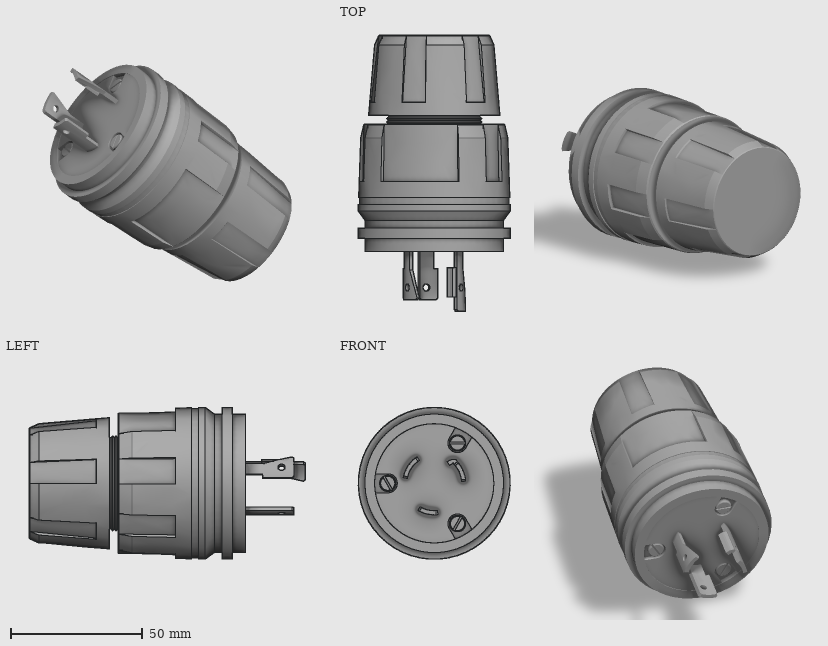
import cadquery as cq
import math


TOTAL_LENGTH = 105.33
OVERSHOOT = 2.0

NUT_TIP_RADIUS = 21.3
NUT_SHOULDER_RADIUS = 22.8
NUT_END_RADIUS = 25.1
NUT_SHOULDER = 3.65
NUT_END = 30.6
NUT_EDGE = 0.35
NUT_GRIP_COUNT = 6
NUT_GRIP_FIRST = 49.0
NUT_GRIP_SPAN = 22.0
NUT_GRIP_END = 26.0
NUT_GRIP_RUNOUT = 0.6
NUT_GRIP_TIP_RADIUS = 21.2
NUT_GRIP_END_RADIUS = 24.1

THREAD_ROOT_RADIUS = 17.5
THREAD_CREST_RADIUS = 18.15
THREAD_PITCH = 1.25
THREAD_COUNT = 2

BODY_START = 33.8
BODY_SHOULDER = 39.2
BODY_START_RADIUS = 27.0
BODY_SHOULDER_RADIUS = 28.1
BODY_END_RADIUS = 28.9
BODY_EDGE = 0.5
MAX_RADIUS = 29.02
BARREL_RADIUS = 26.45
GROOVE_RADIUS = 28.6
GROOVE_START = 62.0
GROOVE_END = 64.5
TAPER_START = 67.1
TAPER_END = 70.65
FLANGE_START = 73.6
FLANGE_END = 77.5
FACE = 82.6

BODY_GRIP_END = 55.8
BODY_GRIP_START_RADIUS = 26.85
BODY_GRIP_END_RADIUS = 27.3
LARGE_GRIP_SPAN = 64.5
LARGE_GRIP_ANGLES = (103.0, 283.0)
SMALL_GRIP_SPAN = 20.6
SMALL_GRIP_OFFSET = 67.2

INSERT_RADIUS = 22.75
INSERT_RECESS = 0.3
SCREW_CIRCLE_RADIUS = 17.75
SCREW_ANGLES = (60.0, 180.0, 300.0)
SCREW_POCKET_RADIUS = 3.65
SCREW_POCKET_DEPTH = 2.0
POCKET_FLOOR = FACE - SCREW_POCKET_DEPTH
SCREW_HEAD_RADIUS = 3.1
SCREW_HEAD_HEIGHT = 1.5
SCREW_HEAD_CHAMFER = 0.4
SCREW_SLOT_WIDTH = 0.8
SCREW_SLOT_DEPTH = 0.7
SCREW_SLOT_TURN = -60.0

BLADE_INNER_RADIUS = 10.45
BLADE_OUTER_RADIUS = 12.05
PLATE_WEDGE_BOTTOM = BLADE_INNER_RADIUS / 2
BLADE_LENGTH = 18.4
GROUND_LENGTH = TOTAL_LENGTH - FACE
BLADE_STEP = 6.5
BLADE_ROOT = SCREW_POCKET_DEPTH / 2
BLADE_CORNER = 0.7
BLADE_CLIP_ANGLE = math.degrees(BLADE_CORNER / BLADE_OUTER_RADIUS)
BLADE_HOLE_DIAMETER = 2.7
BLADE_HOLE_REACH = 13.7
FLARED_ROOT_LOW = 141.0
FLARED_ROOT_HIGH = 162.7
FLARED_TIP_LOW = 123.0
FLARED_TIP_HIGH = 169.7
FLARED_HOLE_ANGLE = 149.0
FLARE_START = 7.0
FLARE_END = 17.6
STEPPED_LOW = 239.0
STEPPED_ROOT_HIGH = 269.0
STEPPED_TIP_HIGH = 276.8
STEPPED_HOLE_ANGLE = 253.5
GROUND_HIGH = 43.5
GROUND_ROOT_LOW = 24.6
GROUND_TIP_LOW = 4.0
GROUND_HOLE_ANGLE = 31.0
TAB_START = 6.1
TAB_END = 17.3
TAB_OUTLINE = [
    (4.93, 8.28), (6.38, 8.98), (7.00, 9.18), (8.24, 9.10), (8.76, 8.28),
    (7.62, 7.14), (7.20, 7.87), (6.70, 7.35), (5.86, 6.83),
]


def turned(profile, span=360.0, start=90.0):
    """Revolve (station, radius) points about the axis over an angular span."""
    points = [(-station, radius) for station, radius in profile]
    solid = cq.Workplane("YZ").polyline(points).close().revolve(span, (0, 0), (-1, 0))
    return solid.rotate((0, 0, 0), (0, -1, 0), start - 90.0)


def plane_at(station):
    """Workplane across the axis, extruding toward the blade end."""
    return cq.Workplane("XZ", origin=(0, -station, 0))


def spin(shape, angle):
    """Turn a shape about the axis, from +X toward +Z."""
    return shape.rotate((0, 0, 0), (0, -1, 0), angle)


def make_nut():
    """Tapered cord nut with shallow grip panels all round."""
    nut = turned([
        (0, 0),
        (0, NUT_TIP_RADIUS - NUT_EDGE),
        (NUT_EDGE, NUT_TIP_RADIUS),
        (NUT_SHOULDER, NUT_SHOULDER_RADIUS),
        (NUT_END, NUT_END_RADIUS),
        (NUT_END, 0),
    ])
    grip = [
        (0, NUT_GRIP_TIP_RADIUS),
        (NUT_GRIP_END - NUT_GRIP_RUNOUT, NUT_GRIP_END_RADIUS),
        (NUT_GRIP_END, NUT_END_RADIUS),
        (NUT_GRIP_END, MAX_RADIUS),
        (0, MAX_RADIUS),
    ]
    for i in range(NUT_GRIP_COUNT):
        center = NUT_GRIP_FIRST + i * 360.0 / NUT_GRIP_COUNT
        nut = nut.cut(turned(grip, NUT_GRIP_SPAN, center - NUT_GRIP_SPAN / 2))
    return nut


def make_neck():
    """Threaded neck, its ends buried in the nut and the body."""
    profile = [(NUT_END - OVERSHOOT, 0), (NUT_END - OVERSHOOT, THREAD_ROOT_RADIUS)]
    first_root = NUT_END + THREAD_PITCH / 2
    for i in range(THREAD_COUNT):
        root = first_root + i * THREAD_PITCH
        profile.append((root, THREAD_ROOT_RADIUS))
        profile.append((root + THREAD_PITCH / 2, THREAD_CREST_RADIUS))
    last_root = first_root + THREAD_COUNT * THREAD_PITCH
    profile += [
        (last_root, THREAD_ROOT_RADIUS),
        (BODY_START + OVERSHOOT, THREAD_ROOT_RADIUS),
        (BODY_START + OVERSHOOT, 0),
    ]
    return turned(profile)


def make_body():
    """Turned body with groove, taper and flange, bored for the front insert."""
    body = turned([
        (BODY_START, 0),
        (BODY_START, BODY_START_RADIUS - BODY_EDGE),
        (BODY_START + BODY_EDGE, BODY_START_RADIUS),
        (BODY_SHOULDER, BODY_SHOULDER_RADIUS),
        (GROOVE_START, BODY_END_RADIUS),
        (GROOVE_START, GROOVE_RADIUS),
        (GROOVE_END, GROOVE_RADIUS),
        (GROOVE_END, MAX_RADIUS),
        (TAPER_START, MAX_RADIUS),
        (TAPER_END, BARREL_RADIUS),
        (FLANGE_START, BARREL_RADIUS),
        (FLANGE_START, MAX_RADIUS),
        (FLANGE_END, MAX_RADIUS),
        (FLANGE_END, BARREL_RADIUS),
        (FACE, BARREL_RADIUS),
        (FACE, 0),
    ])
    return body.cut(plane_at(POCKET_FLOOR).circle(INSERT_RADIUS).extrude(SCREW_POCKET_DEPTH))


def cut_body_grips(body):
    """Cut two large grip panels, each with a small panel on either side."""
    grip = [
        (BODY_START, BODY_GRIP_START_RADIUS),
        (BODY_GRIP_END, BODY_GRIP_END_RADIUS),
        (BODY_GRIP_END, MAX_RADIUS + OVERSHOOT),
        (BODY_START, MAX_RADIUS + OVERSHOOT),
    ]
    for center in LARGE_GRIP_ANGLES:
        body = body.cut(turned(grip, LARGE_GRIP_SPAN, center - LARGE_GRIP_SPAN / 2))
        for side in (-1, 1):
            small = center + side * SMALL_GRIP_OFFSET
            body = body.cut(turned(grip, SMALL_GRIP_SPAN, small - SMALL_GRIP_SPAN / 2))
    return body


def make_screw():
    """Slotted pan screw standing on the pocket floor, at angle zero."""
    head = plane_at(POCKET_FLOOR - OVERSHOOT).center(SCREW_CIRCLE_RADIUS, 0)
    head = head.circle(SCREW_HEAD_RADIUS).extrude(SCREW_HEAD_HEIGHT + OVERSHOOT)
    head = head.faces("<Y").chamfer(SCREW_HEAD_CHAMFER)
    slot_floor = POCKET_FLOOR + SCREW_HEAD_HEIGHT - SCREW_SLOT_DEPTH
    slot = plane_at(slot_floor).center(SCREW_CIRCLE_RADIUS, 0)
    slot = slot.transformed(rotate=(0, 0, SCREW_SLOT_TURN))
    slot = slot.rect(3 * SCREW_HEAD_RADIUS, SCREW_SLOT_WIDTH).extrude(OVERSHOOT)
    return head.cut(slot)


def make_insert():
    """Front disc with screw pockets that run out through its rim."""
    insert = plane_at(POCKET_FLOOR).circle(INSERT_RADIUS).extrude(SCREW_POCKET_DEPTH - INSERT_RECESS)
    pocket = plane_at(POCKET_FLOOR).moveTo(MAX_RADIUS, SCREW_POCKET_RADIUS)
    pocket = pocket.lineTo(SCREW_CIRCLE_RADIUS, SCREW_POCKET_RADIUS)
    pocket = pocket.threePointArc(
        (SCREW_CIRCLE_RADIUS - SCREW_POCKET_RADIUS, 0),
        (SCREW_CIRCLE_RADIUS, -SCREW_POCKET_RADIUS),
    )
    pocket = pocket.lineTo(MAX_RADIUS, -SCREW_POCKET_RADIUS).close().extrude(SCREW_POCKET_DEPTH)
    for angle in SCREW_ANGLES:
        insert = insert.cut(spin(pocket, angle))
    return insert


def curved_plate(outline, hole_angle):
    """Plate curved about the axis, from (angle, reach past the face) outline points."""
    angles = [angle for angle, _ in outline]
    reaches = [reach for _, reach in outline]
    center = (min(angles) + max(angles)) / 2

    def outline_at(height):
        return [
            (height * math.tan(math.radians(center - angle)), -FACE - reach)
            for angle, reach in outline
        ]

    wedge = cq.Workplane("XY").workplane(offset=PLATE_WEDGE_BOTTOM)
    wedge = wedge.polyline(outline_at(PLATE_WEDGE_BOTTOM)).close()
    wedge = wedge.workplane(offset=BLADE_OUTER_RADIUS - PLATE_WEDGE_BOTTOM)
    wedge = wedge.polyline(outline_at(BLADE_OUTER_RADIUS)).close().loft(ruled=True)
    wedge = spin(wedge, center - 90.0)
    tube = plane_at(FACE + min(reaches)).circle(BLADE_OUTER_RADIUS).circle(BLADE_INNER_RADIUS)
    plate = wedge.intersect(tube.extrude(max(reaches) - min(reaches)))
    hole = cq.Workplane("XY").center(0, -FACE - BLADE_HOLE_REACH)
    hole = hole.circle(BLADE_HOLE_DIAMETER / 2).extrude(BLADE_OUTER_RADIUS + OVERSHOOT)
    return plate.cut(spin(hole, hole_angle - 90.0))


def make_flared_blade():
    """Blade that flares along one edge and steps wider along the other."""
    return curved_plate([
        (FLARED_ROOT_LOW, -BLADE_ROOT),
        (FLARED_ROOT_LOW, FLARE_START),
        (FLARED_TIP_LOW, FLARE_END),
        (FLARED_TIP_LOW + BLADE_CLIP_ANGLE, BLADE_LENGTH),
        (FLARED_TIP_HIGH - BLADE_CLIP_ANGLE, BLADE_LENGTH),
        (FLARED_TIP_HIGH, BLADE_LENGTH - BLADE_CORNER),
        (FLARED_TIP_HIGH, BLADE_STEP),
        (FLARED_ROOT_HIGH, BLADE_STEP),
        (FLARED_ROOT_HIGH, -BLADE_ROOT),
    ], FLARED_HOLE_ANGLE)


def make_stepped_blade():
    """Blade with one straight edge, one stepped edge and clipped tip corners."""
    return curved_plate([
        (STEPPED_LOW, -BLADE_ROOT),
        (STEPPED_LOW, BLADE_LENGTH - BLADE_CORNER),
        (STEPPED_LOW + BLADE_CLIP_ANGLE, BLADE_LENGTH),
        (STEPPED_TIP_HIGH - BLADE_CLIP_ANGLE, BLADE_LENGTH),
        (STEPPED_TIP_HIGH, BLADE_LENGTH - BLADE_CORNER),
        (STEPPED_TIP_HIGH, BLADE_STEP),
        (STEPPED_ROOT_HIGH, BLADE_STEP),
        (STEPPED_ROOT_HIGH, -BLADE_ROOT),
    ], STEPPED_HOLE_ANGLE)


def make_ground_blade():
    """Longest blade, flared along its lower edge, with a folded tab on the upper edge."""
    blade = curved_plate([
        (GROUND_HIGH, -BLADE_ROOT),
        (GROUND_ROOT_LOW, -BLADE_ROOT),
        (GROUND_ROOT_LOW, BLADE_STEP),
        (GROUND_TIP_LOW, GROUND_LENGTH - BLADE_CORNER),
        (GROUND_TIP_LOW + BLADE_CLIP_ANGLE, GROUND_LENGTH),
        (GROUND_HIGH - BLADE_CLIP_ANGLE, GROUND_LENGTH),
        (GROUND_HIGH, GROUND_LENGTH - BLADE_CORNER),
    ], GROUND_HOLE_ANGLE)
    tab = plane_at(FACE + TAB_START).polyline(TAB_OUTLINE).close().extrude(TAB_END - TAB_START)
    return blade.union(tab)


plug = cut_body_grips(make_body()).union(make_neck()).union(make_nut())
plug = plug.union(make_insert())
for screw_angle in SCREW_ANGLES:
    plug = plug.union(spin(make_screw(), screw_angle))
for make_blade in (make_flared_blade, make_stepped_blade, make_ground_blade):
    plug = plug.union(make_blade())
result = plug